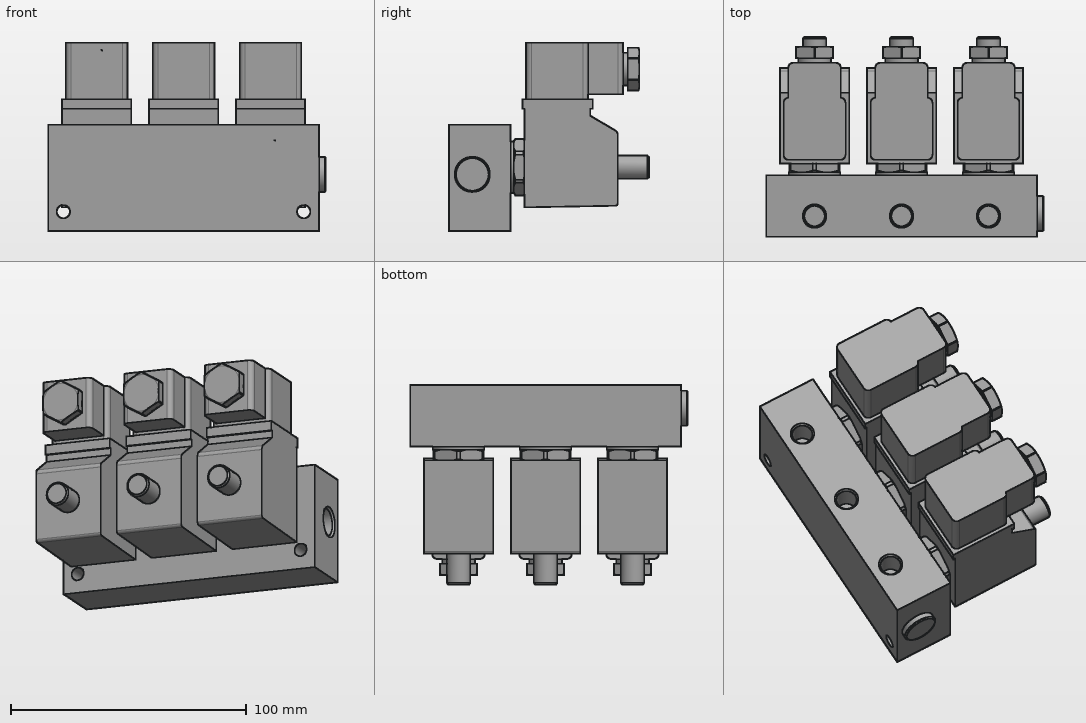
import cadquery as cq
import math


overall_length = 118
block_length = 115.0
block_depth = 26.2
block_height = 45.2
station_pitch = 36.9
station_xs = [block_length / 2 + i * station_pitch for i in (-1, 0, 1)]

gallery_y = 9.9
gallery_z = 24.1
inlet_diameter = 11.5
inlet_mouth_diameter = 13.2
inlet_depth = 14.2
outlet_y = 8.8
outlet_diameter = 8.6
outlet_mouth_diameter = 10.0
outlet_depth = 11.8
mount_hole_diameter = 5.5
mount_hole_inset = 6.5
mount_hole_z = 8.3
plug_diameter = 15.0
plug_length = overall_length - block_length
plug_chamfer = 0.6

tube_axis_z = 27.1
seat_collar_diameter = 22.0
seat_collar_length = 1.3
seat_hex_flats = 21.6
seat_hex_corner_diameter = 24.1
seat_hex_front_taper = 0.7
seat_hex_back_taper = 0.4
seat_hex_back_diameter = 23.1

body_width = 29.5
body_front_y = 32.0
body_back_y = 71.7
body_bottom_front_z = 10.0
underside_slope_angle = 1
shoulder_low_z = 42.1
shoulder_high_z = 49.0
shoulder_y = 60.1
lower_back_fillet = 1.2
upper_back_fillet = 2.4

collar_front_y = 31.2
collar_back_y = 61.1
collar_bottom_z = 51.9
collar_top_z = 56.0

tube_diameter = 10.0
tube_tip_diameter = 8.6
tube_tip_length = 0.8
tube_end_y = 85

connector_top_z = 80.0
head_width = 26.3
head_front_y = 32.7
head_back_y = 59.1
neck_width = 22.4
neck_back_y = 74.0
neck_bottom_z = 58.0
connector_fillet = 2.2

gland_z = 68.8
gland_diameter = 14.0
gland_length = 1.9
nut_flats = 16.0
nut_length = 5.0
nut_corner_diameter = 18.3
nut_taper = 0.4


def box(width, y_start, y_end, z_start, z_end):
    """Box centred on X between the given Y and Z limits."""
    size_y = y_end - y_start
    size_z = z_end - z_start
    return cq.Workplane("XY", origin=(0, y_start, z_start)).box(
        width, size_y, size_z, centered=(True, False, False)
    )


def rod(diameter, y_start, y_end, z):
    """Cylinder along Y on the centre plane X = 0."""
    plane = cq.Workplane("XZ", origin=(0, y_start, z))
    return plane.circle(diameter / 2).extrude(y_start - y_end)


def turned(section, z):
    """Solid of revolution about Y, from its (diameter, Y) steps."""
    half_section = [(diameter / 2, y) for diameter, y in section]
    axis_start = (0, section[0][1])
    axis_end = (0, section[-1][1])
    outline = [axis_start] + half_section + [axis_end]
    plane = cq.Workplane("XY", origin=(0, 0, z))
    return plane.polyline(outline).close().revolve(360, (0, 0, 0), (0, 1, 0))


def hexagon(flats, y_start, y_end, z):
    """Hexagonal prism along Y with one corner pointing up."""
    corner_diameter = flats / math.cos(math.pi / 6)
    plane = cq.Workplane("XZ", origin=(0, y_start, z)).transformed(rotate=(0, 0, 90))
    return plane.polygon(6, corner_diameter).extrude(y_start - y_end)


def port(plane, diameter, mouth_diameter, depth):
    """Blind hole below a workplane, with a 45 degree chamfered mouth."""
    bore = plane.circle(diameter / 2).extrude(-depth)
    mouth_depth = (mouth_diameter - diameter) / 2
    mouth = plane.circle(mouth_diameter / 2).extrude(-mouth_depth, taper=45)
    return bore.union(mouth)


def make_block():
    block = cq.Workplane("XY").box(
        block_length, block_depth, block_height, centered=False
    )
    for x in (mount_hole_inset, block_length - mount_hole_inset):
        hole = rod(mount_hole_diameter, 0, block_depth, mount_hole_z)
        block = block.cut(hole.translate((x, 0, 0)))
    for x in station_xs:
        outlet_plane = cq.Workplane("XY", origin=(x, outlet_y, block_height))
        block = block.cut(
            port(outlet_plane, outlet_diameter, outlet_mouth_diameter, outlet_depth)
        )
    inlet_plane = cq.Workplane(cq.Plane((0, gallery_y, gallery_z), (0, 1, 0), (-1, 0, 0)))
    block = block.cut(port(inlet_plane, inlet_diameter, inlet_mouth_diameter, inlet_depth))
    plug = (
        cq.Workplane("YZ", origin=(block_length, gallery_y, gallery_z))
        .circle(plug_diameter / 2)
        .extrude(plug_length)
        .faces(">X")
        .chamfer(plug_chamfer)
    )
    return block.union(plug)


def make_seat():
    hex_start_y = block_depth + seat_collar_length
    collar = rod(seat_collar_diameter, block_depth, hex_start_y, tube_axis_z)
    blank = turned(
        [
            (seat_collar_diameter, hex_start_y),
            (seat_hex_corner_diameter, hex_start_y + seat_hex_front_taper),
            (seat_hex_corner_diameter, body_front_y - seat_hex_back_taper),
            (seat_hex_back_diameter, body_front_y),
        ],
        tube_axis_z,
    )
    nut = hexagon(seat_hex_flats, hex_start_y, body_front_y, tube_axis_z)
    return collar.union(nut.intersect(blank))


def make_body():
    rise = (body_back_y - body_front_y) * math.tan(math.radians(underside_slope_angle))
    profile = [
        (body_front_y, body_bottom_front_z),
        (body_back_y, body_bottom_front_z + rise),
        (body_back_y, shoulder_low_z),
        (shoulder_y, shoulder_high_z),
        (shoulder_y, collar_bottom_z),
        (body_front_y, collar_bottom_z),
    ]
    body = cq.Workplane("YZ").polyline(profile).close().extrude(body_width / 2, both=True)
    body = body.faces(">Y").edges("<Z").fillet(lower_back_fillet)
    body = body.faces(">Y").edges(">Z").fillet(upper_back_fillet)
    collar = box(body_width, collar_front_y, collar_back_y, collar_bottom_z, collar_top_z)
    return body.union(collar)


def make_tube_end():
    return turned(
        [
            (tube_diameter, body_back_y),
            (tube_diameter, tube_end_y - tube_tip_length),
            (tube_tip_diameter, tube_end_y),
        ],
        tube_axis_z,
    )


def make_connector():
    head = box(head_width, head_front_y, head_back_y, collar_top_z, connector_top_z)
    head = head.edges("|Z").fillet(connector_fillet)
    neck_front_y = (head_front_y + head_back_y) / 2
    neck = box(neck_width, neck_front_y, neck_back_y, neck_bottom_z, connector_top_z)
    neck = neck.edges("|Z and >Y").fillet(connector_fillet)
    return head.union(neck)


def make_gland():
    nut_start_y = neck_back_y + gland_length
    nut_end_y = nut_start_y + nut_length
    gland = rod(gland_diameter, neck_back_y, nut_start_y, gland_z)
    blank = turned(
        [
            (nut_corner_diameter, nut_start_y),
            (nut_corner_diameter, nut_end_y - nut_taper),
            (nut_flats, nut_end_y),
        ],
        gland_z,
    )
    nut = hexagon(nut_flats, nut_start_y, nut_end_y, gland_z)
    return gland.union(nut.intersect(blank))


def make_valve():
    valve = make_seat().union(make_body())
    valve = valve.union(make_tube_end())
    valve = valve.union(make_connector())
    return valve.union(make_gland())


result = make_block()
valve = make_valve()
for station_x in station_xs:
    result = result.union(valve.translate((station_x, 0, 0)))